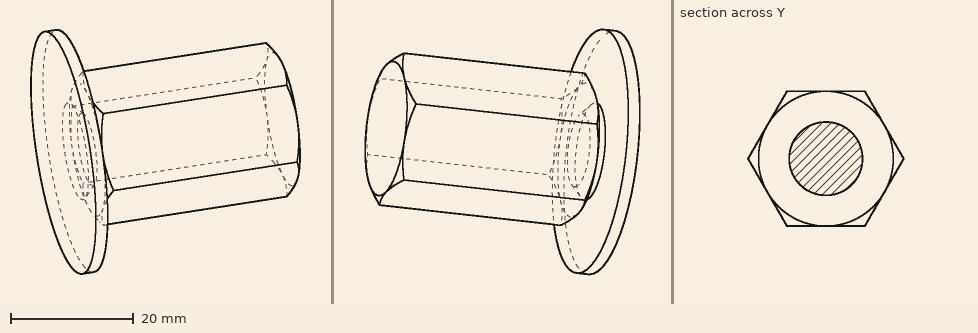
import cadquery as cq
import math

disc_diameter = 40.0
disc_thickness = 2.0
collar_base_diameter = 16.0
collar_top_diameter = 12.0
collar_height = 2.0
nut_across_flats = 22.0
nut_length = 33.0
nut_chamfer_angle = 30.0

nut_start = disc_thickness + collar_height
nut_end = nut_start + nut_length


def revolve_about_y(profile):
    return profile.close().revolve(360, (0, 0, 0), (0, 1, 0))


def make_foot():
    """Flat disc with a conical collar that meets the nut."""
    profile = (
        cq.Workplane("XY")
        .lineTo(disc_diameter / 2, 0)
        .lineTo(disc_diameter / 2, disc_thickness)
        .lineTo(collar_base_diameter / 2, disc_thickness)
        .lineTo(collar_top_diameter / 2, nut_start)
        .lineTo(0, nut_start)
    )
    return revolve_about_y(profile)


def make_nut():
    """Long hexagon with corners on +X and -X, conically chamfered at both ends."""
    across_corners = nut_across_flats / math.cos(math.radians(30))
    flat_radius = nut_across_flats / 2
    corner_radius = across_corners / 2
    chamfer_depth = (corner_radius - flat_radius) * math.tan(math.radians(nut_chamfer_angle))

    hexagon = (
        cq.Workplane("XZ")
        .workplane(offset=-nut_start)
        .polygon(6, across_corners)
        .extrude(-nut_length)
    )
    envelope = (
        cq.Workplane("XY")
        .moveTo(0, nut_start)
        .lineTo(flat_radius, nut_start)
        .lineTo(corner_radius, nut_start + chamfer_depth)
        .lineTo(corner_radius, nut_end - chamfer_depth)
        .lineTo(flat_radius, nut_end)
        .lineTo(0, nut_end)
    )
    return hexagon.intersect(revolve_about_y(envelope)).solids()


foot = make_foot()
nut = make_nut()

result = cq.Compound.makeCompound([foot.val(), nut.val()])